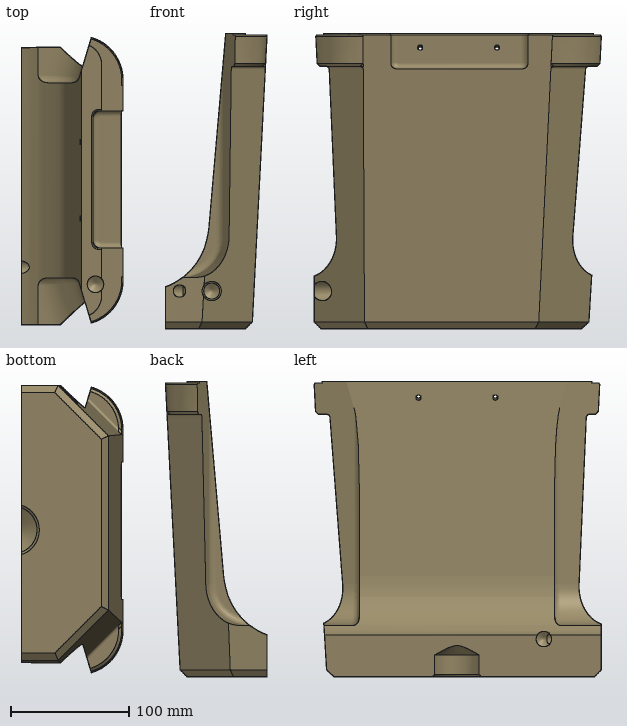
import cadquery as cq
import math

HEIGHT = 250.0
BIG = 150.0

FRONT_TOP_X = 51.0
FACE_END_X, FACE_END_Z = 36.8, 85.2
BLEND_END_X, BLEND_END_Z = 32.8, 67.8
LIP_Z = 35.5
BLEND_BULGE = 0.5
CRADLE_BULGE = 5.0
BACK_BOTTOM_X, BACK_TOP_X = 73.8, 86.2

NEAR_END_Y = -122.2
FAR_END_BOTTOM_Y, FAR_END_TOP_Y = 110.0, 125.0
NEAR_FLANK_BOTTOM, NEAR_FLANK_TOP = 153.0, 167.0
FAR_FLANK_BOTTOM, FAR_FLANK_TOP = 141.0, 165.8
FOOT_CHAMFER = 6.0

HEAD_BOTTOM_Z = 222.0
HEAD_TIP_X, HEAD_TIP_Y = 59.2, 121.0
HEAD_ARC_END_Y = 85.0
HEAD_ARC_RADIUS = 37.5
HEAD_EDGE_CHAMFER = 2.5
HEAD_TAPER = 3.0
HEAD_INNER_X = 60.0
NECK_ROUND = 2.5
NECK_BAND = 0.2
STEP_DEPTH = 1.2
STEP_X = 68.0
STEP_ARC_Y = 97.2
STEP_END_X, STEP_END_Y = 57.2, 114.2
STEP_BULGE = 3.0

NOTCH_X = 60.8
NOTCH_NEAR_Y, NOTCH_FAR_Y = -57.2, 58.8
NOTCH_FLOOR_Z = 220.0
NOTCH_CORNER = 6.2
NOTCH_FLOOR_ROUND = 4.8
NOTCH_RIM_CHAMFER = 1.2
RIM_ANGLE = 45.0

RELIEF_Y = 82.5
RELIEF_FLOOR_Z = 43.2
RELIEF_RADIUS = 35.0
RELIEF_MEET_Y = 93.5
RELIEF_CORNER = 6.2

DRILL_TIP_ANGLE = 118.0
SOCKET_X, SOCKET_D, SOCKET_DEPTH, SOCKET_CHAMFER = -6.8, 40.0, 18.5, 2.0
END_HOLE_Z = 32.0
PLAIN_HOLE_X, PLAIN_HOLE_D = 12.0, 10.5
SEATED_HOLE_X, SEATED_HOLE_D, SEATED_HOLE_DEPTH = 39.2, 13.5, 50.0
SEAT_D, SEAT_DEPTH = 16.2, 17.0
FRONT_HOLE_Y, FRONT_HOLE_D, FRONT_HOLE_DEPTH = -73.5, 13.0, 15.0
TOP_HOLE_X, TOP_HOLE_Y, TOP_HOLE_D, TOP_HOLE_DEPTH = 62.8, -88.0, 14.0, 30.0
PIN_Y, PIN_Z, PIN_D, PIN_TILT = 32.5, 235.5, 4.2, 10.0
PIN_LENGTH = 15.0


def bulge_point(start, end, sagitta):
    """Middle of an arc bulging to the left of the line from start to end."""
    dx, dy = end[0] - start[0], end[1] - start[1]
    length = math.hypot(dx, dy)
    mid_x, mid_y = (start[0] + end[0]) / 2, (start[1] + end[1]) / 2
    return (mid_x - sagitta * dy / length, mid_y + sagitta * dx / length)


def drill(point, direction, diameter, depth):
    """Cylinder with a conical drill tip, starting at point."""
    radius = diameter / 2
    tip = radius / math.tan(math.radians(DRILL_TIP_ANGLE / 2))
    axis = cq.Vector(*direction).normalized()
    start = cq.Vector(*point)
    shaft = cq.Solid.makeCylinder(radius, depth, start, axis)
    cone = cq.Solid.makeCone(radius, 0, tip, start + axis * depth, axis)
    return cq.Workplane(obj=shaft.fuse(cone))


def plan_outline(z, inset):
    """Body plan at height z, with its ends and flanks moved inward by inset."""
    def at_height(bottom, top):
        return bottom + (top - bottom) * z / HEIGHT

    flank_inset = inset * math.sqrt(2)
    near_end = NEAR_END_Y + inset
    far_end = at_height(FAR_END_BOTTOM_Y, FAR_END_TOP_Y) - inset
    near_flank = at_height(NEAR_FLANK_BOTTOM, NEAR_FLANK_TOP) - flank_inset
    far_flank = at_height(FAR_FLANK_BOTTOM, FAR_FLANK_TOP) - flank_inset
    return [
        (0, near_end),
        (near_flank + near_end, near_end),
        (BACK_TOP_X, BACK_TOP_X - near_flank),
        (BACK_TOP_X, far_flank - BACK_TOP_X),
        (far_flank - far_end, far_end),
        (0, far_end),
    ]


def flat_face(points):
    return cq.Face.makeFromWires(cq.Wire.makePolygon(points, close=True))


def plan_block(bottom_z, top_z, bottom_inset):
    """Flat-sided block through the body plans at two heights."""
    bottom = [cq.Vector(x, y, bottom_z) for x, y in plan_outline(bottom_z, bottom_inset)]
    top = [cq.Vector(x, y, top_z) for x, y in plan_outline(top_z, 0)]
    faces = [flat_face(bottom), flat_face(top)]
    for i in range(len(bottom)):
        faces.append(flat_face([bottom[i - 1], bottom[i], top[i], top[i - 1]]))
    return cq.Workplane(obj=cq.Solid.makeSolid(cq.Shell.makeShell(faces)))


def make_body():
    """Foot and leaning wall, flared where the flanks meet the head."""
    lip = (0, LIP_Z)
    blend_end = (BLEND_END_X, BLEND_END_Z)
    face_end = (FACE_END_X, FACE_END_Z)
    profile = (
        cq.Workplane("XZ", origin=(0, BIG, 0))
        .moveTo(0, 0)
        .lineTo(*lip)
        .threePointArc(bulge_point(lip, blend_end, -CRADLE_BULGE), blend_end)
        .threePointArc(bulge_point(blend_end, face_end, -BLEND_BULGE), face_end)
        .lineTo(FRONT_TOP_X, HEIGHT)
        .lineTo(BACK_TOP_X, HEIGHT)
        .lineTo(BACK_BOTTOM_X, FOOT_CHAMFER)
        .lineTo(BACK_BOTTOM_X - FOOT_CHAMFER, 0)
        .close()
        .extrude(2 * BIG)
    )
    envelope = plan_block(0, FOOT_CHAMFER, FOOT_CHAMFER).union(plan_block(FOOT_CHAMFER, HEIGHT, 0))
    body = profile.intersect(envelope)

    above_neck = cq.Workplane("XY", origin=(0, 0, HEAD_BOTTOM_Z)).box(
        2 * BIG, 2 * BIG, BIG, centered=(True, True, False)
    )
    flared = body.union(profile.intersect(above_neck))
    neck_band = cq.selectors.BoxSelector(
        (0, -BIG, HEAD_BOTTOM_Z - NECK_BAND), (BIG, BIG, HEAD_BOTTOM_Z + NECK_BAND)
    )
    neck_edges = flared.edges(neck_band).edges("|(1,1,0) or |(1,-1,0)")
    neck = neck_edges.fillet(NECK_ROUND).cut(above_neck)
    return body.union(neck)


def make_horn(side):
    """One end of the head; side is +1 or -1 along Y."""
    apex = (BACK_TOP_X - HEAD_ARC_RADIUS, HEAD_ARC_END_Y + HEAD_ARC_RADIUS)
    horn = (
        cq.Workplane("XY", origin=(0, 0, HEIGHT))
        .moveTo(HEAD_INNER_X, 0)
        .lineTo(BACK_TOP_X, 0)
        .lineTo(BACK_TOP_X, HEAD_ARC_END_Y)
        .tangentArcPoint(apex, relative=False)
        .lineTo(FRONT_TOP_X, RELIEF_MEET_Y)
        .close()
        .extrude(HEAD_BOTTOM_Z - HEIGHT, taper=HEAD_TAPER)
    )
    back_slab = (
        cq.Workplane("XZ", origin=(0, BIG, 0))
        .moveTo(0, 0)
        .lineTo(BACK_BOTTOM_X, 0)
        .lineTo(BACK_TOP_X, HEIGHT)
        .lineTo(0, HEIGHT)
        .close()
        .extrude(2 * BIG)
    )
    rim = horn.faces("<Z or >Z").edges("%CIRCLE or >X")
    horn = rim.chamfer(HEAD_EDGE_CHAMFER).intersect(back_slab)
    return horn if side > 0 else horn.mirror("XZ")


def make_step(side):
    """Shallow lowering of the rear of the top face on one horn."""
    inner = (STEP_X, STEP_ARC_Y)
    outer = (STEP_END_X, STEP_END_Y)
    step = (
        cq.Workplane("XY", origin=(0, 0, HEIGHT - STEP_DEPTH))
        .moveTo(STEP_X, 0)
        .lineTo(*inner)
        .threePointArc(bulge_point(inner, outer, -STEP_BULGE), outer)
        .lineTo(STEP_END_X, BIG)
        .lineTo(BIG, BIG)
        .lineTo(BIG, 0)
        .close()
        .extrude(BIG)
    )
    return step if side > 0 else step.mirror("XZ")


def notch_outline(z, margin):
    """Plan of the notch at height z, widened by margin and open to the rear."""
    return (
        cq.Workplane("XY", origin=(0, 0, z))
        .moveTo(BIG, NOTCH_NEAR_Y - margin)
        .lineTo(NOTCH_X - margin + NOTCH_CORNER, NOTCH_NEAR_Y - margin)
        .tangentArcPoint((-NOTCH_CORNER, NOTCH_CORNER))
        .lineTo(NOTCH_X - margin, NOTCH_FAR_Y + margin - NOTCH_CORNER)
        .tangentArcPoint((NOTCH_CORNER, NOTCH_CORNER))
        .lineTo(BIG, NOTCH_FAR_Y + margin)
        .close()
    )


def make_notch():
    """Space between the horns, with a rounded floor edge and a chamfered rim."""
    notch = notch_outline(NOTCH_FLOOR_Z, 0).extrude(HEIGHT - NOTCH_FLOOR_Z)
    notch = notch.faces("<Z").edges("not >X").fillet(NOTCH_FLOOR_ROUND)
    rim = notch_outline(HEIGHT, NOTCH_RIM_CHAMFER).extrude(-NOTCH_RIM_CHAMFER, taper=RIM_ANGLE)
    return notch.union(rim)


def make_relief(side):
    """Space in front of one flank: level floor, arc, then an upright wall turned in plan."""
    wall_turn = math.degrees(math.atan2(HEAD_TIP_X - FRONT_TOP_X, HEAD_TIP_Y - RELIEF_MEET_Y))
    arc_start = (-RELIEF_RADIUS, RELIEF_FLOOR_Z)
    arc_end = (0, RELIEF_FLOOR_Z + RELIEF_RADIUS)
    sagitta = RELIEF_RADIUS * (1 - math.sqrt(0.5))
    sweep = (
        cq.Workplane("XZ", origin=(0, BIG, 0))
        .moveTo(-BIG, RELIEF_FLOOR_Z)
        .lineTo(*arc_start)
        .threePointArc(bulge_point(arc_start, arc_end, -sagitta), arc_end)
        .lineTo(0, HEIGHT + RELIEF_RADIUS)
        .lineTo(-BIG, HEIGHT + RELIEF_RADIUS)
        .close()
        .extrude(2 * BIG)
        .rotate((0, 0, 0), (0, 0, 1), -wall_turn)
        .translate((FRONT_TOP_X, RELIEF_MEET_Y, 0))
    )
    outside = cq.Workplane("XY").box(4 * BIG, BIG, 4 * BIG).translate((0, RELIEF_Y + BIG / 2, 0))
    relief = sweep.intersect(outside)
    inner_wall = relief.faces("<Y")
    relief = inner_wall.edges("not (<X or >Z)").fillet(RELIEF_CORNER)
    return relief if side > 0 else relief.mirror("XZ")


def cut_socket(part):
    """Chamfered blind socket in the underside, breaking out of the front face."""
    part = part.cut(drill((SOCKET_X, 0, 0), (0, 0, 1), SOCKET_D, SOCKET_DEPTH))
    rim = cq.Solid.makeCone(
        SOCKET_D / 2 + SOCKET_CHAMFER, SOCKET_D / 2, SOCKET_CHAMFER, cq.Vector(SOCKET_X, 0, 0)
    )
    return part.cut(cq.Workplane(obj=rim))


def cut_drilled_holes(part):
    """Two holes in the -Y end, one in the front face and one in the top face."""
    plain_start = (PLAIN_HOLE_X, NEAR_END_Y, END_HOLE_Z)
    plain_depth = FRONT_HOLE_Y - NEAR_END_Y
    part = part.cut(drill(plain_start, (0, 1, 0), PLAIN_HOLE_D, plain_depth))

    front_start = (0, FRONT_HOLE_Y, END_HOLE_Z)
    part = part.cut(drill(front_start, (1, 0, 0), FRONT_HOLE_D, FRONT_HOLE_DEPTH))

    seated_start = (SEATED_HOLE_X, NEAR_END_Y, END_HOLE_Z)
    part = part.cut(drill(seated_start, (0, 1, 0), SEATED_HOLE_D, SEATED_HOLE_DEPTH))
    seat = cq.Solid.makeCylinder(
        SEAT_D / 2, SEAT_DEPTH, cq.Vector(*seated_start), cq.Vector(0, 1, 0)
    )
    part = part.cut(cq.Workplane(obj=seat))

    top_start = (TOP_HOLE_X, TOP_HOLE_Y, HEIGHT)
    return part.cut(drill(top_start, (0, 0, -1), TOP_HOLE_D, TOP_HOLE_DEPTH))


def cut_pin_holes(part):
    """Two small holes from the front face into the notch, rising toward the rear."""
    tilt = math.radians(PIN_TILT)
    for y in (-PIN_Y, PIN_Y):
        start = (NOTCH_X - PIN_LENGTH * math.cos(tilt), y, PIN_Z)
        part = part.cut(drill(start, (math.cos(tilt), 0, math.sin(tilt)), PIN_D, PIN_LENGTH))
    return part


sides = (-1, 1)
result = make_body()
for side in sides:
    result = result.union(make_horn(side))
for side in sides:
    result = result.cut(make_step(side))
    result = result.cut(make_relief(side))
result = result.cut(make_notch())
result = cut_socket(result)
result = cut_drilled_holes(result)
result = cut_pin_holes(result)